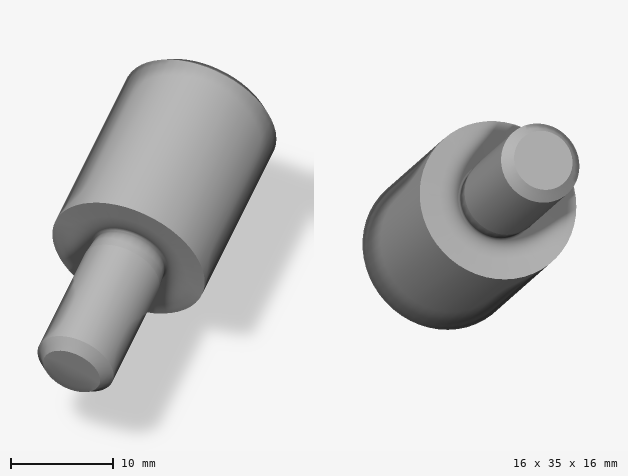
import cadquery as cq

total_length = 35.0
body_length = 20.0
body_diameter = 16.0
pin_diameter = body_diameter / 2
end_chamfer = 1.0

shoulder_dish_depth = 0.3
root_radius = 0.2
neck_length = 1.9
neck_undercut = 0.2

tip_y = -total_length / 2
back_y = total_length / 2
shoulder_y = back_y - body_length
neck_front_y = shoulder_y - neck_length
dish_floor_y = shoulder_y + shoulder_dish_depth
neck_root_y = dish_floor_y - root_radius

body_radius = body_diameter / 2
pin_radius = pin_diameter / 2
neck_radius = pin_radius - neck_undercut
dish_inner_radius = neck_radius + root_radius

half_section = (
    cq.Workplane("XY")
    .moveTo(0, tip_y)
    .lineTo(pin_radius - end_chamfer, tip_y)
    .lineTo(pin_radius, tip_y + end_chamfer)
    .lineTo(pin_radius, neck_front_y)
    .lineTo(neck_radius, neck_root_y)
    .radiusArc((dish_inner_radius, dish_floor_y), root_radius)
    .lineTo(body_radius, shoulder_y)
    .lineTo(body_radius, back_y - end_chamfer)
    .lineTo(body_radius - end_chamfer, back_y)
    .lineTo(0, back_y)
    .close()
)

result = half_section.revolve(360, (0, 0, 0), (0, 1, 0))